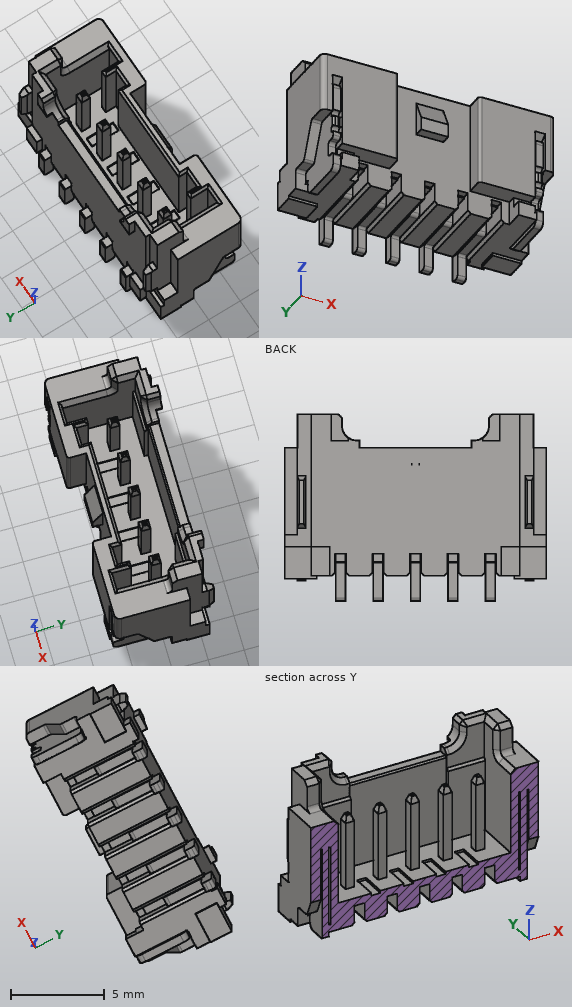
import cadquery as cq


margin = 0.01

half_length = 7.0
wall_top = 6.85
ear_top = 8.64
corner_radius = 0.31
end_block_back = 4.16
ear_half_length = 6.31
ear_back = 5.01
rear_half_length = 5.57
rear_face = 5.28
low_step_top = 2.2
sill_top = 1.54
sill_back = 5.24
pad_half_length = 5.26
pad_front = 3.95
pad_drop = 0.17

recess_half_width = 2.42
recess_depth = 1.06
recess_corner_radius = 0.17
latch_half_width = 0.81
latch_front = 0.49
latch_bottom = 4.07
latch_edge = 4.86
latch_top = 6.06
undercut_top = 1.43
undercut_depth = 0.59
foot_top = 0.87
foot_inner = 4.79

floor_top = 1.68
ear_chamfer = 0.3
cavity_half_length = rear_half_length - ear_chamfer
cavity_front = 0.55
rib_outer = 4.37
rib_inner = 3.98
rib_end = 1.62
pocket_front = 0.97
wall_half_width = 2.98
thin_wall_back = 1.48
cavity_back = 4.45
ear_inner_face = 4.59
center_back = 4.66
ledge_top = 6.15
mouth_front = 0.15
center_chamfer = 0.1
floor_recess_length = 1.68
floor_recess_width = 0.55
floor_recess_depth = 0.14
floor_recess_front = 1.61

arm_front = 3.35
foot_radius = 0.3
ear_tip = 3.92
ear_tip_chamfer = 0.21
sweep_radius = 0.77
ear_low_top = 7.24
hook_outer = 4.5
hook_inner = 3.58
hook_back = 5.63
hook_bottom = 7.22
rear_pad_inner = 4.58

contact_count = 5
contact_pitch = 2.0
contact_width = 0.53
contact_front = 2.77
contact_shoulder = 5.78
contact_neck = 6.16
contact_neck_width = 0.25
contact_tip = 6.25
contact_tip_width = 0.08
tail_back = 5.7
tail_thickness = 0.6
tail_bottom = -1.36
tail_leg_bottom = 0.14
bend_radius = 0.21
tail_inner_radius = 0.14
tail_corner_bevel = 0.05
tail_end_radius = 0.18
contact_slot_width = 0.59
contact_slot_top = 1.26
contact_slot_step = 0.08
slot_mouth_chamfer = 0.17

plate_thickness = 0.45
plate_inner = ear_half_length - plate_thickness
plate_gap = 0.07
plate_front = 0.07
plate_bottom = -0.27
plate_top = 5.28
plate_heel = 3.04
plate_corner = 0.34
plate_nose_radius = 0.38
wing_bottom = 2.55
wing_top = 5.33
wing_bevel_start = 5.29
wing_bevel_drop = 0.24
wing_taper_start = 5.39
wing_tip_width = 0.24
heel_top = 0.66
notch_bottom = 0.77
notch_top = 1.71
notch_depth = 0.65
notch_inner_radius = 0.2
notch_lip_radius = 0.17
barb_bottom = 2.49
barb_top = 3.1
barb_bevel = 0.13
dent_radius = 0.2
dent_center = 0.119
plate_slot_top = 5.63
plate_slot_slope = 0.42
plate_slot_bottom = 0.48
plate_slot_depth = 3.5
window_top = 3.32
window_shelf = 1.2
window_top_back = 1.25
window_shelf_front = 2.15
window_back = 3.14
window_corner_radius = 0.17


def block(x0, x1, y0, y1, z0, z1):
    """Box between two opposite corners."""
    return cq.Workplane("XY").box(x1 - x0, y1 - y0, z1 - z0, centered=False).translate((x0, y0, z0))


def span(half_x, y0, y1, z0, z1):
    """Box centered on X = 0."""
    return block(-half_x, half_x, y0, y1, z0, z1)


def side_profile(points, x0, x1):
    """Extrude a (y, z) outline from x0 to x1."""
    return cq.Workplane("YZ").polyline(points).close().extrude(x1 - x0).translate((x0, 0, 0))


def both_ends(solid):
    """The solid together with its mirror image at the other end of the part."""
    return solid.union(solid.mirror("YZ"))


def housing_block():
    """Outside of the housing up to the rim, with front recess and undercut."""
    main = span(half_length, 0, end_block_back, 0, wall_top)
    main = main.edges("|Z and <Y").fillet(corner_radius)
    recess = span(recess_half_width, 0, recess_depth, 0, wall_top)
    main = main.cut(recess)
    lips = cq.selectors.BoxSelector(
        (-recess_half_width - margin, -margin, 0), (recess_half_width + margin, margin, wall_top))
    main = main.edges("|Z").edges(lips).fillet(recess_corner_radius)

    main = main.union(span(half_length, end_block_back, ear_back, 0, low_step_top))
    main = main.union(span(half_length, end_block_back, sill_back, 0, sill_top))
    main = main.union(span(ear_half_length, end_block_back, ear_back, 0, wall_top))
    main = main.union(span(rear_half_length, end_block_back, rear_face, 0, wall_top))

    main = main.cut(span(foot_inner, 0, recess_depth, 0, undercut_top))
    main = main.cut(span(half_length, 0, undercut_depth, 0, undercut_top))
    foot = block(foot_inner, plate_inner, 0, undercut_depth, 0, foot_top)
    corner_pad = block(pad_half_length, half_length, pad_front, sill_back, -pad_drop, 0)
    rear_pad = block(rear_pad_inner, rear_half_length, rear_face, hook_back, 0, sill_top)
    rear_pad = rear_pad.union(block(rear_pad_inner, rear_half_length, ear_back, rear_face, 0, sill_top))
    return main.union(both_ends(foot.union(corner_pad).union(rear_pad)))


def cavity_outline(side_growth, front_growth):
    """Cavity outline, grown at its ends and along the stepped front wall."""
    end = cavity_half_length + side_growth
    right = [
        (wall_half_width - front_growth, thin_wall_back - front_growth),
        (wall_half_width - front_growth, pocket_front - front_growth),
        (rib_inner + front_growth, pocket_front - front_growth),
        (rib_inner + front_growth, rib_end - front_growth),
        (rib_outer - front_growth, rib_end - front_growth),
        (rib_outer - front_growth, cavity_front - front_growth),
        (end, cavity_front - front_growth),
        (end, cavity_back),
    ]
    left = [(-x, y) for x, y in reversed(right)]
    return right + left


def tapered_solid(lower, lower_z, upper, upper_z):
    """Solid with flat sloping sides between a lower and an upper outline."""
    return (
        cq.Workplane("XY").workplane(offset=lower_z).polyline(lower).close()
        .workplane(offset=upper_z - lower_z).polyline(upper).close()
        .loft(ruled=True)
    )


def cavity():
    """Space inside the shroud, with the chamfered mouth."""
    plain = cavity_outline(0, 0)
    space = cq.Workplane("XY").workplane(offset=floor_top).polyline(plain).close().extrude(
        wall_top - floor_top)
    halfway = cavity_outline(ear_chamfer - mouth_front, 0)
    rim = cavity_outline(ear_chamfer, mouth_front)
    space = space.union(tapered_solid(plain, wall_top - ear_chamfer, halfway, wall_top - mouth_front))
    space = space.union(tapered_solid(halfway, wall_top - mouth_front, rim, wall_top))
    ledge_drop = ear_inner_face - cavity_back
    behind_ears = side_profile(
        [
            (cavity_back, wall_top),
            (cavity_back, ledge_top - ledge_drop),
            (ear_inner_face, ledge_top),
            (ear_inner_face, wall_top),
        ],
        -cavity_half_length, cavity_half_length)
    behind_center = side_profile(
        [
            (cavity_back, floor_top),
            (center_back, floor_top),
            (center_back, wall_top - center_chamfer),
            (center_back + center_chamfer, wall_top),
            (cavity_back, wall_top),
        ],
        -wall_half_width, wall_half_width)
    return space.union(behind_ears).union(behind_center)


def foot_outline(x, radius, top):
    """Concave corner in the plane at x, centered above the toe of the ear foot."""
    toe = arm_front - foot_radius
    return (
        cq.Workplane("YZ", origin=(x, 0, 0))
        .moveTo(toe, top - radius)
        .radiusArc((toe + radius, top), -radius)
        .lineTo(toe + radius, top - radius)
        .close()
        .val()
    )


def ruled_solid(first, second):
    """Solid with straight sides between two outlines."""
    return cq.Workplane("XY").add(cq.Solid.makeLoft([first, second], True))


def ear():
    """Raised corner at the +X end: end arm, swept rear wall and rear hook."""
    arm_base = wall_top - ear_chamfer
    arm = block(cavity_half_length, ear_half_length, arm_front, ear_back, arm_base, ear_top)
    arm = arm.edges("(<X and >Z) or (<Y and >Z) or (<X and <Y)").chamfer(ear_chamfer)
    foot_top_z = wall_top + foot_radius
    inner_foot = foot_outline(cavity_half_length, foot_radius + ear_chamfer, foot_top_z)
    edge_foot = foot_outline(rear_half_length, foot_radius, foot_top_z)
    outer_foot = foot_outline(ear_half_length, foot_radius, foot_top_z)
    arm_foot = ruled_solid(inner_foot, edge_foot).union(ruled_solid(edge_foot, outer_foot))

    sweep_bottom = ear_low_top + sweep_radius
    sweep_end = ear_tip - sweep_radius
    swept_wall = (
        cq.Workplane("XZ")
        .moveTo(rear_half_length, ledge_top)
        .lineTo(rear_half_length, ear_top)
        .lineTo(ear_tip + ear_tip_chamfer, ear_top)
        .lineTo(ear_tip, ear_top - ear_tip_chamfer)
        .lineTo(ear_tip, sweep_bottom)
        .radiusArc((sweep_end, ear_low_top), sweep_radius)
        .lineTo(wall_half_width, ear_low_top)
        .lineTo(wall_half_width, ledge_top)
        .close()
    )
    wall = swept_wall.extrude(-(hook_back - ear_inner_face)).translate((0, ear_inner_face, 0))
    upper_edges = cq.selectors.BoxSelector(
        (wall_half_width + margin, ear_inner_face - margin, ear_low_top - margin),
        (rear_half_length - margin, ear_inner_face + margin, ear_top + margin))
    wall = wall.faces("<Y").edges(upper_edges).chamfer(ear_chamfer)

    hook_zone = block(hook_inner, hook_outer, rear_face, hook_back, hook_bottom, ear_top)
    wall_zone = block(wall_half_width, rear_half_length, ear_inner_face, rear_face, ledge_top, ear_top)
    wall = wall.intersect(wall_zone.union(hook_zone))
    return arm.union(arm_foot).union(wall)


def latch():
    """Wedge on the recessed front wall that locks the mating plug."""
    outline = [
        (recess_depth, latch_bottom),
        (latch_front, latch_bottom),
        (latch_front, latch_edge),
        (recess_depth, latch_top),
    ]
    return side_profile(outline, -latch_half_width, latch_half_width)


def plate_openings():
    """Slot around the +X solder plate and the opening in the end face."""
    slot = side_profile(
        [
            (0, plate_slot_bottom),
            (0, plate_slot_top),
            (plate_slot_slope, plate_top),
            (plate_slot_depth, plate_top),
            (plate_slot_depth, plate_slot_bottom),
        ],
        plate_inner - plate_gap, ear_half_length + plate_gap)
    heel_gap = block(plate_inner, ear_half_length, 0, window_back, 0, heel_top)
    window = side_profile(
        [
            (0, 0),
            (0, window_top),
            (window_top_back, window_top),
            (window_shelf_front, window_shelf),
            (window_back, window_shelf),
            (window_back, 0),
        ],
        ear_half_length, half_length)
    window = window.edges("|X and (not <Y) and (not <Z)").fillet(window_corner_radius)
    return slot.union(heel_gap).union(window)


def solder_plate():
    """Sheet metal plate at the +X end, standing in its slot."""
    center = (plate_inner + ear_half_length) / 2
    lower = block(plate_inner, ear_half_length, plate_front, plate_heel, plate_bottom, heel_top)
    lower = lower.edges("|X and <Z").fillet(plate_corner)
    upper = block(plate_inner, ear_half_length, plate_front, plate_slot_depth, heel_top, plate_top)
    upper = upper.edges("|X and <Y and >Z").fillet(plate_nose_radius)
    web = lower.union(upper)

    notch = block(plate_inner, ear_half_length, 0, notch_depth, notch_bottom, notch_top)
    web = web.cut(notch.edges("|X and >Y").fillet(notch_inner_radius))
    for z in (notch_bottom, notch_top):
        lip = cq.selectors.NearestToPointSelector((center, plate_front, z))
        web = web.edges("|X").edges(lip).fillet(notch_lip_radius)

    for z in (barb_bottom - dent_radius, barb_top + dent_radius):
        dent = cq.Workplane("YZ").center(dent_center, z).circle(dent_radius).extrude(plate_thickness)
        web = web.cut(dent.translate((plate_inner, 0, 0)))
    barb_outline = [
        (plate_inner, plate_front),
        (plate_inner, plate_front + barb_bevel),
        (plate_inner + barb_bevel, plate_front),
    ]
    barb_side = cq.Workplane("XY").workplane(offset=barb_bottom).polyline(barb_outline).close().extrude(
        barb_top - barb_bottom)
    web = web.cut(barb_side)
    web = web.cut(barb_side.mirror("YZ", (center, 0, 0)))

    wing_side = side_profile(
        [
            (plate_heel, wing_bottom),
            (wing_bevel_start, wing_bottom),
            (tail_back, wing_bottom + wing_bevel_drop),
            (tail_back, wing_top - wing_bevel_drop),
            (wing_bevel_start, wing_top),
            (plate_heel, wing_top),
        ],
        plate_inner, ear_half_length)
    wing_plan = (
        cq.Workplane("XY").workplane(offset=wing_bottom)
        .polyline([
            (plate_inner, plate_heel),
            (plate_inner, wing_taper_start),
            (center - wing_tip_width / 2, tail_back),
            (center + wing_tip_width / 2, tail_back),
            (ear_half_length, wing_taper_start),
            (ear_half_length, plate_heel),
        ])
        .close()
        .extrude(wing_top - wing_bottom)
    )
    return web.union(wing_side.intersect(wing_plan))


def square(width):
    """Corners of a centered square."""
    half = width / 2
    return [(-half, -half), (half, -half), (half, half), (-half, half)]


def contact():
    """One bent contact centered on X = 0."""
    contact_back = contact_front + contact_width
    leg_top = tail_leg_bottom + tail_thickness
    tail_front = tail_back - tail_thickness
    body = side_profile(
        [
            (contact_front, contact_shoulder),
            (contact_front, tail_leg_bottom),
            (tail_front, tail_leg_bottom),
            (tail_front, tail_bottom),
            (tail_back, tail_bottom),
            (tail_back, leg_top),
            (contact_back, leg_top),
            (contact_back, contact_shoulder),
        ],
        -contact_width / 2, contact_width / 2)
    body = body.edges("|X and <Z").fillet(tail_end_radius)
    bends = [
        (contact_front, tail_leg_bottom, bend_radius),
        (tail_front, tail_leg_bottom, tail_inner_radius),
    ]
    for y, z, radius in bends:
        corner = cq.selectors.NearestToPointSelector((0, y, z))
        body = body.edges("|X").edges(corner).fillet(radius)
    tail_corner = cq.selectors.NearestToPointSelector((0, tail_back, leg_top))
    body = body.edges("|X").edges(tail_corner).chamfer(tail_corner_bevel)
    shoulder = square(contact_width)
    neck = square(contact_neck_width)
    tip = square(contact_tip_width)
    point = tapered_solid(shoulder, contact_shoulder, neck, contact_neck)
    point = point.union(tapered_solid(neck, contact_neck, tip, contact_tip))
    point = point.translate((0, contact_front + contact_width / 2, 0))
    return body.union(point)


def contact_slot():
    """Groove under the floor for one contact, with a flared mouth."""
    half = contact_slot_width / 2
    flare = half + slot_mouth_chamfer
    roof = contact_slot_top - contact_slot_step
    outline = [
        (-flare, 0),
        (-half, slot_mouth_chamfer),
        (-half, roof),
        (half, roof),
        (half, slot_mouth_chamfer),
        (flare, 0),
    ]
    groove = cq.Workplane("XZ").polyline(outline).close().extrude(-rear_face)
    return groove.union(span(half, 0, thin_wall_back, roof, contact_slot_top))


contact_places = [(i - (contact_count - 1) / 2) * contact_pitch for i in range(contact_count)]

result = housing_block().cut(cavity()).union(both_ends(ear())).union(latch())
result = result.cut(both_ends(plate_openings()))
result = result.union(both_ends(solder_plate()))

for x in contact_places:
    result = result.cut(contact_slot().translate((x, 0, 0)))
    result = result.union(contact().translate((x, 0, 0)))

for x in contact_places[:-1]:
    middle = x + contact_pitch / 2
    result = result.cut(block(
        middle - floor_recess_width / 2, middle + floor_recess_width / 2,
        floor_recess_front, floor_recess_front + floor_recess_length,
        floor_top - floor_recess_depth, floor_top))